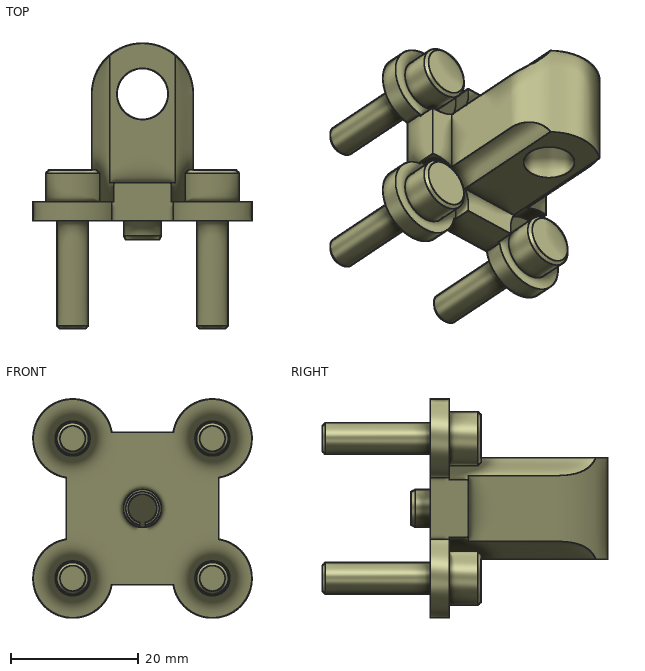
import cadquery as cq


screw_spacing = 22.0
lobe_diameter = 12.5
plate_thickness = 3.0
block_width = 24.0
block_height = 6.0
clearance_hole_diameter = 5.5

eye_width = 16.0
eye_radius = eye_width / 2
eye_hole_height = 19.95
eye_hole_diameter = 8.0

shank_diameter = 5.0
shank_length = 20.0
shank_tip_chamfer = 0.5
head_diameter = 8.5
head_height = 5.0
head_chamfer = 0.5
head_clearance = 2.3
head_relief_diameter = head_diameter + 2 * head_clearance

pin_diameter = 6.0
pin_bore_diameter = 4.5
pin_protrusion = 3.0
pin_socket_depth = block_height
pin_chamfer_length = 0.67
pin_chamfer_depth = 0.35
pin_slot_width = 0.85

half_spacing = screw_spacing / 2
screw_positions = [
    (x, z)
    for x in (-half_spacing, half_spacing)
    for z in (-half_spacing, half_spacing)
]


def cylinder(diameter, y_start, length, x=0, z=0):
    """Cylinder along +Y that starts at y_start."""
    return cq.Workplane(cq.Solid.makeCylinder(
        diameter / 2, length, cq.Vector(x, y_start, z), cq.Vector(0, 1, 0)))


def make_eye():
    """Square bar with a rounded end and a cross hole along Z."""
    outline = (
        cq.Workplane("XY", origin=(0, 0, -eye_width / 2))
        .moveTo(-eye_radius, 0)
        .lineTo(eye_radius, 0)
        .lineTo(eye_radius, eye_hole_height)
        .threePointArc((0, eye_hole_height + eye_radius), (-eye_radius, eye_hole_height))
        .close()
    )
    bar = outline.extrude(eye_width)
    cross_hole = cq.Workplane("XY").center(0, eye_hole_height)
    cross_hole = cross_hole.circle(eye_hole_diameter / 2).extrude(eye_width, both=True)
    return bar.cut(cross_hole)


def make_mount():
    """Block and eye, relieved around the screw heads, on a plate with four lobes."""
    block = cq.Workplane("XY").box(block_width, block_height, block_width, centered=(True, False, True))
    mount = block.union(make_eye())
    relief_length = eye_hole_height + eye_radius - plate_thickness
    for x, z in screw_positions:
        mount = mount.cut(cylinder(head_relief_diameter, plate_thickness, relief_length, x, z))
    for x, z in screw_positions:
        mount = mount.union(cylinder(lobe_diameter, 0, plate_thickness, x, z))
        mount = mount.cut(cylinder(clearance_hole_diameter, 0, plate_thickness, x, z))
    return mount.cut(cylinder(pin_diameter, 0, pin_socket_depth)).solids()


def make_screw(x, z):
    """Cap screw whose head rests on the plate."""
    head = cylinder(head_diameter, plate_thickness, head_height, x, z)
    head = head.faces(">Y").chamfer(head_chamfer)
    shank = cylinder(shank_diameter, plate_thickness - shank_length, shank_length, x, z)
    shank = shank.faces("<Y").chamfer(shank_tip_chamfer)
    return head.union(shank).solids()


def make_pin():
    """Slotted tube with a tapered outer end, seated at the bottom of its socket."""
    outer_radius = pin_diameter / 2
    bore_radius = pin_bore_diameter / 2
    wall_profile = [
        (bore_radius, -pin_protrusion),
        (outer_radius - pin_chamfer_depth, -pin_protrusion),
        (outer_radius, pin_chamfer_length - pin_protrusion),
        (outer_radius, pin_socket_depth),
        (bore_radius, pin_socket_depth),
    ]
    tube = cq.Workplane("XY").polyline(wall_profile).close().revolve(360, (0, 0), (0, 1))
    slot = cq.Workplane("XY").box(
        pin_slot_width, pin_protrusion + pin_socket_depth, outer_radius, centered=(True, False, False))
    return tube.cut(slot.translate((0, -pin_protrusion, -outer_radius))).solids()


mount = make_mount()
pin = make_pin()
screws = [make_screw(x, z) for x, z in screw_positions]

result = cq.Compound.makeCompound([mount.val(), pin.val(), *[screw.val() for screw in screws]])